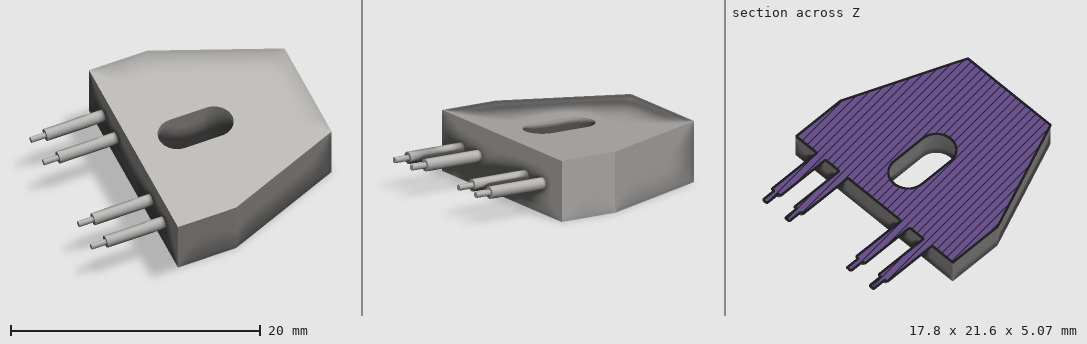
import cadquery as cq

overall_length = 21.6

body_width = 17.8
body_height = 5.07
body_depth = 15.25
rear_width = 9.41
straight_side = 5.07

slot_width = 3.15
slot_length = 6.35
slot_front_gap = 2.25

sleeve_length = 5.07
sleeve_diameter = 1.01
wire_length = overall_length - body_depth - sleeve_length
wire_diameter = 0.5
inner_lead_offset = 3.5
lead_pitch = 2.55
outer_lead_offset = inner_lead_offset + lead_pitch
lead_positions = (-outer_lead_offset, -inner_lead_offset, inner_lead_offset, outer_lead_offset)


def make_housing():
    """Tapered block with its front face on y = 0, centred on z = 0."""
    return (
        cq.Workplane("XY")
        .workplane(offset=-body_height / 2)
        .moveTo(-body_width / 2, 0)
        .lineTo(body_width / 2, 0)
        .lineTo(body_width / 2, straight_side)
        .lineTo(rear_width / 2, body_depth)
        .lineTo(-rear_width / 2, body_depth)
        .lineTo(-body_width / 2, straight_side)
        .close()
        .extrude(body_height)
    )


def make_slot():
    """Round-ended cutter through the full height of the housing."""
    return (
        cq.Workplane("XY")
        .center(0, slot_front_gap + slot_length / 2)
        .slot2D(slot_length, slot_width, 90)
        .extrude(body_height, both=True)
    )


def make_lead(x):
    """Stepped lead running from the front face toward -Y."""
    front_plane = cq.Workplane("XZ").center(x, 0)
    sleeve = front_plane.circle(sleeve_diameter / 2).extrude(sleeve_length)
    wire = front_plane.circle(wire_diameter / 2).extrude(sleeve_length + wire_length)
    return sleeve.union(wire)


result = make_housing().cut(make_slot())
for lead_x in lead_positions:
    result = result.union(make_lead(lead_x))